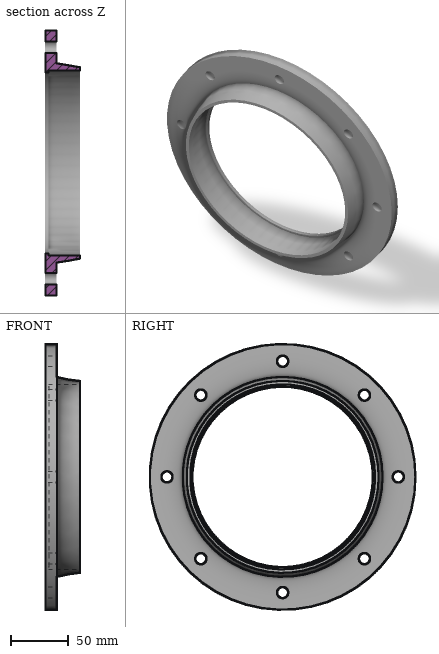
import cadquery as cq

flange_diameter = 230.0
flange_thickness = 10.0
total_length = 30.0
lip_length = 3.0
bore_diameter = 156.0
relief_diameter = 160.0
hub_base_diameter = 173.0
hub_end_diameter = 166.0
bolt_circle_diameter = 200.0
bolt_hole_diameter = 9.5
bolt_hole_count = 8


def ring_body():
    """Flange with a tapered hub and a bore that widens inside the hub, revolved about X."""
    bore_radius = bore_diameter / 2
    relief_radius = relief_diameter / 2
    profile = [
        (0, bore_radius),
        (0, flange_diameter / 2),
        (flange_thickness, flange_diameter / 2),
        (flange_thickness, hub_base_diameter / 2),
        (total_length, hub_end_diameter / 2),
        (total_length, relief_radius),
        (lip_length, relief_radius),
        (lip_length, bore_radius),
    ]
    return cq.Workplane("XY").polyline(profile).close().revolve(360, (0, 0, 0), (1, 0, 0))


def bolt_holes():
    """Cutters for the evenly spaced holes through the flange."""
    return (
        cq.Workplane("YZ")
        .polarArray(bolt_circle_diameter / 2, 0, 360, bolt_hole_count)
        .circle(bolt_hole_diameter / 2)
        .extrude(flange_thickness)
    )


result = ring_body().cut(bolt_holes())